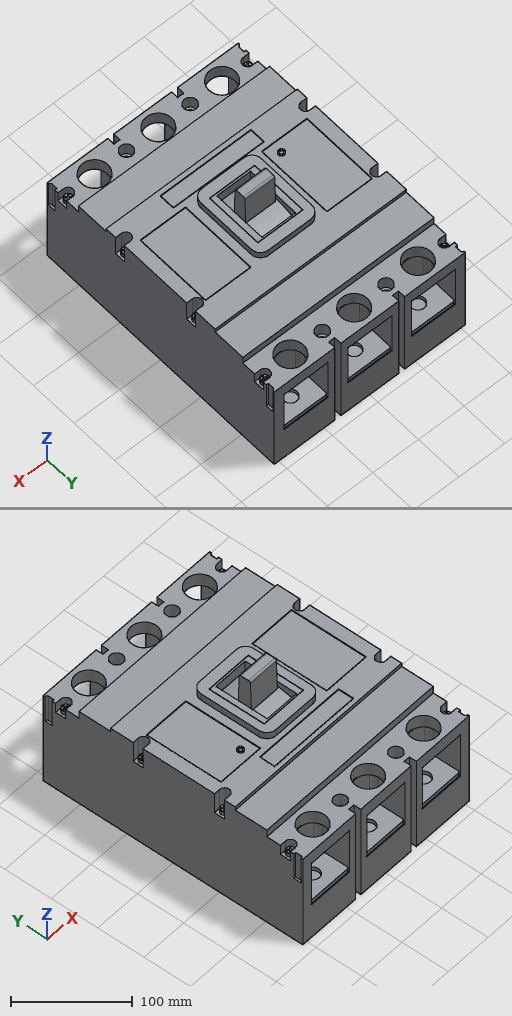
import cadquery as cq

width = 210.0
length = 280.0
shelf_top = 104.0
step_top = 112.0
step_half_length = 101.5
cover_top = 116.0
cover_half_length = 67.2
overlap = 2.8

pole_pitch = 70.0
terminal_inset = 19.3
terminal_y = length / 2 - terminal_inset
window_width = 48.2
window_bottom = 39.8
window_top = 90.0
window_depth = 34.2
window_fillet = 5.0
contact_thickness = 4.2
contact_recess = 0.8
contact_corner = 2.0
contact_hole = 14.3
access_hole = 28.5

groove_width = 6.5
groove_depth = 7.5
mount_hole = 8.5
mount_counterbore = 13.5
mount_counterbore_depth = 14.0

screw_rows = (
    (-121.2, 45),
    (-50.0, 45),
    (37.5, 0),
    (121.2, 0),
)
screw_x = 98.5
notch_width = 10.5
notch_floor = 93.0
screw_head = 8.7
screw_head_height = 4.2
screw_head_chamfer = 0.5
cross_length = 5.5
cross_width = 1.5
cross_depth = 1.5

side_slot_inner = 130.5
side_slot_outer = 138.3
side_slot_depth = 2.2
side_slot_floor = 74.2

label_depth = 1.0
side_label_size = (49.5, 80.5)
side_label_x = 66.5
name_label_size = (99.5, 16.0)
name_label_y = -54.3
button_x = -53.5
button_y = -28.8
button_outer = 6.7
button_inner = 4.0

bezel_size = (66.5, 82.3)
bezel_top = 123.5
bezel_corner = 10.0
bezel_recess_size = (49.3, 59.5)
bezel_recess_depth = 0.5
opening_size = (37.0, 55.5)
opening_floor = 103.5
drum_radius = 67.2
drum_top = 117.5
lever_width = 32.8
lever_y = -1.7
lever_top = 152.0
lever_top_thickness = 12.0
lever_base_thickness = 15.0
lever_fillet = 2.0


def block(size_x, size_y, bottom, top, x=0.0, y=0.0):
    """Upright box centred on (x, y) between two heights."""
    return (
        cq.Workplane("XY", origin=(x, y, bottom))
        .rect(size_x, size_y)
        .extrude(top - bottom)
    )


def cylinder(diameter, bottom, top, x=0.0, y=0.0):
    """Upright cylinder between two heights."""
    return (
        cq.Workplane("XY", origin=(x, y, bottom))
        .circle(diameter / 2)
        .extrude(top - bottom)
    )


def housing():
    body = block(width, length, 0, shelf_top)
    body = body.union(block(width, 2 * step_half_length, 0, step_top))
    return body.union(block(width, 2 * cover_half_length, 0, cover_top))


def terminal_cutter(x):
    """Window, access hole and contact plate space at the -Y end."""
    front = -length / 2
    window = block(
        window_width, window_depth, window_bottom, window_top, x, front + window_depth / 2
    )
    window = window.edges("|Z and >Y").fillet(window_fillet)
    plate_length = window_depth - contact_recess
    plate = block(
        window_width,
        plate_length,
        window_bottom,
        window_bottom + contact_thickness,
        x,
        front + contact_recess + plate_length / 2,
    )
    plate = plate.edges("|Z and <Y").fillet(contact_corner)
    plate = plate.cut(cylinder(contact_hole, window_bottom, window_top, x, -terminal_y))
    access = cylinder(access_hole, window_top - overlap, shelf_top + overlap, x, -terminal_y)
    return window.cut(plate).union(access)


def divider_cutter(x):
    """Full-height groove and stepped mounting hole at the -Y end."""
    groove_length = groove_depth + overlap
    groove_y = -length / 2 + groove_depth - groove_length / 2
    groove = block(groove_width, groove_length, -overlap, shelf_top + overlap, x, groove_y)
    hole = cylinder(mount_hole, -overlap, shelf_top + overlap, x, -terminal_y)
    counterbore = cylinder(
        mount_counterbore,
        shelf_top - mount_counterbore_depth,
        shelf_top + overlap,
        x,
        -terminal_y,
    )
    return groove.union(hole).union(counterbore)


def side_slot_cutter():
    """Slot in the -X face near the -Y corner, rounded on its outer side."""
    floor_x = -width / 2 + side_slot_depth
    size_x = side_slot_depth + overlap
    size_y = side_slot_outer - side_slot_inner
    slot = block(
        size_x,
        size_y,
        side_slot_floor,
        shelf_top + overlap,
        floor_x - size_x / 2,
        -(side_slot_inner + side_slot_outer) / 2,
    )
    return slot.edges("|Z and >X and <Y").fillet(side_slot_depth)


def notch_cutter(y, cross_angle):
    """Round-ended notch in the -X face with a cross-head screw left standing."""
    top = cover_top + overlap
    size_x = width / 2 - screw_x + overlap
    notch = block(size_x, notch_width, notch_floor, top, -screw_x - size_x / 2, y)
    notch = notch.union(cylinder(notch_width, notch_floor, top, -screw_x, y))
    head_top = notch_floor + screw_head_height
    head = cylinder(screw_head, notch_floor, head_top, -screw_x, y)
    head = head.faces(">Z").chamfer(screw_head_chamfer)
    for angle in (cross_angle, cross_angle + 90):
        slot = block(cross_length, cross_width, head_top - cross_depth, head_top)
        slot = slot.rotate((0, 0, 0), (0, 0, 1), angle)
        head = head.cut(slot.translate((-screw_x, y, 0)))
    return notch.cut(head)


def label_cutters():
    bottom = cover_top - label_depth
    top = cover_top + overlap
    labels = block(*name_label_size, bottom, top, 0, name_label_y)
    for x in (-side_label_x, side_label_x):
        labels = labels.union(block(*side_label_size, bottom, top, x))
    return labels


def button_ring():
    """Raised ring of the test button, level with the cover."""
    bottom = cover_top - label_depth - overlap
    ring = cylinder(button_outer, bottom, cover_top, button_x, button_y)
    return ring.cut(cylinder(button_inner, cover_top - label_depth, cover_top, button_x, button_y))


def bezel():
    frame = block(*bezel_size, cover_top - overlap, bezel_top)
    frame = frame.edges("|Z").fillet(bezel_corner)
    return frame.cut(block(*bezel_recess_size, bezel_top - bezel_recess_depth, bezel_top))


def handle():
    """Lever standing on the part of a drum that shows in the bezel opening."""
    drum = (
        cq.Workplane("YZ", origin=(-opening_size[0] / 2, 0, drum_top - drum_radius))
        .circle(drum_radius)
        .extrude(opening_size[0])
        .intersect(block(*opening_size, opening_floor, bezel_top))
    )
    lever = (
        cq.Workplane("YZ", origin=(-lever_width / 2, lever_y, 0))
        .moveTo(-lever_base_thickness / 2, opening_floor)
        .lineTo(lever_base_thickness / 2, opening_floor)
        .lineTo(lever_top_thickness / 2, lever_top)
        .lineTo(-lever_top_thickness / 2, lever_top)
        .close()
        .extrude(lever_width)
    )
    lever = lever.edges("|X and >Z").fillet(lever_fillet)
    return drum.union(lever)


def both_ends(cutter):
    return cutter.union(cutter.mirror("XZ"))


def both_sides(cutter):
    return cutter.union(cutter.mirror("YZ"))


result = housing().cut(label_cutters()).union(button_ring()).union(bezel())

for pole in (-1, 0, 1):
    result = result.cut(both_ends(terminal_cutter(pole * pole_pitch)))

result = result.cut(both_ends(both_sides(divider_cutter(-pole_pitch / 2))))
result = result.cut(both_ends(both_sides(side_slot_cutter())))

for row_y, turn in screw_rows:
    result = result.cut(both_sides(notch_cutter(row_y, turn)))

result = result.cut(block(*opening_size, opening_floor, bezel_top))
result = result.union(handle())